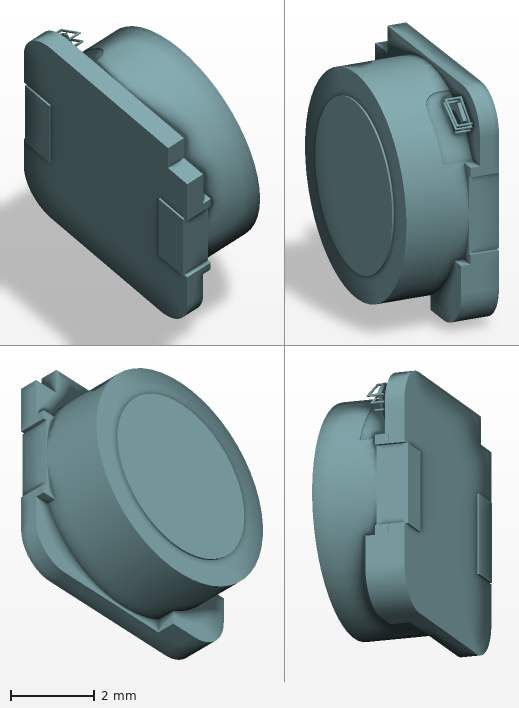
import cadquery as cq
import math


SIZE = 6.0
HALF = SIZE / 2
CORNER_RADIUS = SIZE / 6
SHEET = 0.05
PLATE_BACK = 0.55
KEY_NOTCH = 0.7
POST_BACK = 1.05

CASE_DIAMETER = 5.795
CASE_RADIUS = CASE_DIAMETER / 2
CASE_BACK = 2.455
DISC_DIAMETER = 4.39
DISC_BACK = CASE_BACK + SHEET

PAD_LENGTH = SIZE / 3
PAD_WIDTH = 0.89
WALL_X = CASE_RADIUS
ANCHOR_LENGTH = 2.495
ANCHOR_FRONT = 0.45
ANCHOR_BACK = 0.8
ANCHOR_INNER_X = math.sqrt(CASE_RADIUS**2 - (ANCHOR_LENGTH / 2) ** 2)

RECESS_EDGE = 1.26
RECESS_BACK = 1.35
RECESS_CORNER = 0.5
RECESS_DEPTH = 0.035
FLOOR_RADIUS = CASE_RADIUS - RECESS_DEPTH

DIAGONAL_ANGLE = -45.0
TONGUE_WIDTH = 0.49
TONGUE_THICKNESS = 0.095
TONGUE_TIP = 3.59
TONGUE_Y = 0.81
WIRE_DIAMETER = 0.06
TURNS = 2
PITCH = 0.21
BACK_RUN_STEP = 0.155
SINK = 0.035
WINDING_TOP = 3.6
LOWER_ACROSS = -0.35
UPPER_ACROSS = 0.425
WINDING_FRONT = 0.66
WINDING_BACK = 1.055


def box(x_range, y_range, z_range):
    """Box between the given limits."""
    sizes = [high - low for low, high in (x_range, y_range, z_range)]
    corner = (x_range[0], y_range[0], z_range[0])
    return cq.Workplane("XY").box(*sizes, centered=False).translate(corner)


def cylinder(radius, y_front, y_back):
    """Cylinder around the Y axis."""
    return cq.Workplane("XZ", origin=(0, y_front, 0)).circle(radius).extrude(y_front - y_back)


def diagonal_point(radius, across, y):
    """Point at a distance from the axis along the -X +Z diagonal and an offset across it."""
    return cq.Vector((across - radius) / math.sqrt(2), y, (across + radius) / math.sqrt(2))


def make_terminal():
    """Terminal on the -X side: solder pad, side wall and an anchor with two wings."""
    pad_z = (-PAD_LENGTH / 2, PAD_LENGTH / 2)
    anchor_z = (-ANCHOR_LENGTH / 2, ANCHOR_LENGTH / 2)
    pad = box((-WALL_X, PAD_WIDTH - WALL_X), (0, SHEET), pad_z)
    wall = box((-WALL_X, SHEET - WALL_X), (0, ANCHOR_BACK), pad_z)
    anchor = box((-HALF, -ANCHOR_INNER_X), (ANCHOR_FRONT, ANCHOR_BACK), anchor_z)
    gap = box((-HALF, -WALL_X), (0, ANCHOR_BACK), pad_z)
    return anchor.cut(gap).union(wall).union(pad)


def make_plate(terminals):
    """Square plate with three round corners, a key notch, a raised corner and terminal seats."""
    plate = box((-HALF, HALF), (SHEET, POST_BACK), (-HALF, HALF))
    plate = plate.edges("|Y and (<X or <Z)").fillet(CORNER_RADIUS)
    post_edge = -ANCHOR_LENGTH / 2
    raised = (PLATE_BACK, POST_BACK)
    plate = plate.cut(box((-HALF, HALF), raised, (post_edge, HALF)))
    plate = plate.cut(box((post_edge, HALF), raised, (-HALF, HALF)))
    plate = plate.cut(cylinder(CASE_RADIUS, PLATE_BACK, POST_BACK))
    notch = (HALF - KEY_NOTCH, HALF)
    plate = plate.cut(box(notch, (SHEET, PLATE_BACK), notch))
    pad_z = (-PAD_LENGTH / 2, PAD_LENGTH / 2)
    for side_x in ((-HALF, -WALL_X), (WALL_X, HALF)):
        plate = plate.cut(box(side_x, (SHEET, PLATE_BACK), pad_z))
    for terminal in terminals:
        plate = plate.cut(terminal)
    return plate


def make_case(terminals):
    """Round case with a shallow recess in its wall and pockets for the terminal anchors."""
    case = cylinder(CASE_RADIUS, PLATE_BACK, CASE_BACK)
    window = box((-HALF, -RECESS_EDGE), (PLATE_BACK, RECESS_BACK), (RECESS_EDGE, HALF))
    window = window.edges("|Z and >X and >Y").fillet(RECESS_CORNER)
    case = case.cut(window.cut(cylinder(FLOOR_RADIUS, PLATE_BACK, RECESS_BACK)))
    for terminal in terminals:
        case = case.cut(terminal)
    return case


def make_disc():
    """Thin disc on the back of the case."""
    return cylinder(DISC_DIAMETER / 2, CASE_BACK, DISC_BACK)


def make_tongue():
    """Flat tongue standing on the recess floor."""
    blank = cq.Workplane("XY").rect(TONGUE_WIDTH, TONGUE_THICKNESS).extrude(TONGUE_TIP)
    tongue = blank.rotate((0, 0, 0), (0, 1, 0), DIAGONAL_ANGLE).translate((0, TONGUE_Y, 0))
    return tongue.cut(cylinder(FLOOR_RADIUS, PLATE_BACK, RECESS_BACK))


def make_winding():
    """Round wire wound in rectangular turns around the tongue."""
    corners = []
    for turn in range(TURNS + 1):
        lower = WINDING_TOP - turn * PITCH
        upper = lower - BACK_RUN_STEP
        front = WINDING_FRONT - turn * SINK
        back = WINDING_BACK - turn * SINK
        corners.append(diagonal_point(lower, LOWER_ACROSS, front))
        corners.append(diagonal_point(lower, LOWER_ACROSS, back))
        if turn < TURNS:
            corners.append(diagonal_point(upper, UPPER_ACROSS, back))
            corners.append(diagonal_point(upper, UPPER_ACROSS, front))
    path = cq.Workplane(cq.Wire.makePolygon(corners))
    start = cq.Plane(corners[0], normal=corners[1] - corners[0])
    return cq.Workplane(start).circle(WIRE_DIAMETER / 2).sweep(path, transition="right")


left_terminal = make_terminal()
terminals = [left_terminal, left_terminal.mirror("YZ")]
plate = make_plate(terminals)
case = make_case(terminals)
disc = make_disc()
tongue = make_tongue()
winding = make_winding()

result = cq.Compound.makeCompound(
    [
        plate.solids().val(),
        case.solids().val(),
        *[terminal.solids().val() for terminal in terminals],
        disc.val(),
        tongue.solids().val(),
        winding.val(),
    ]
)